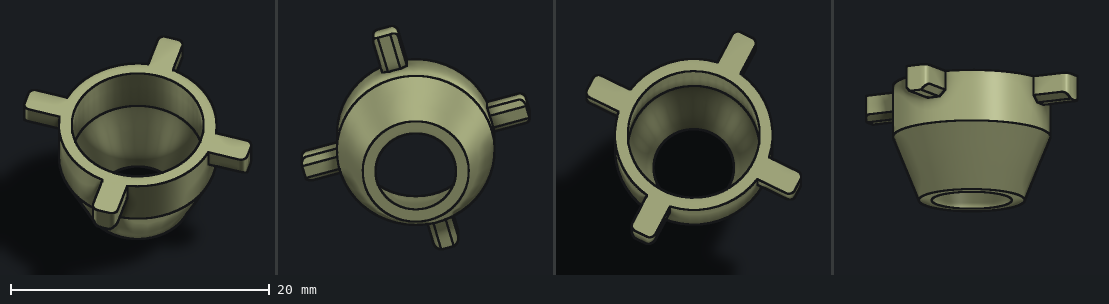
import cadquery as cq

wall = 1.0
collar_diameter = 12.2
collar_height = 4.0
cone_height = 5.0
tip_diameter = 8.2
tab_span = 18.0
tab_width = 2.0
tab_height = 2.0
tab_corner_radius = 0.5
tab_chamfer = 0.5
tab_count = 4

total_height = collar_height + cone_height
collar_radius = collar_diameter / 2
tip_radius = tip_diameter / 2
bore_radius = collar_radius - wall
tip_bore_radius = tip_radius - wall
tab_length = tab_span / 2


def revolved_profile(tip, collar):
    """Solid cone topped by a cylinder, with the given tip and collar radii."""
    return (
        cq.Workplane("XZ")
        .moveTo(0, 0)
        .lineTo(tip, 0)
        .lineTo(collar, cone_height)
        .lineTo(collar, total_height)
        .lineTo(0, total_height)
        .close()
        .revolve(360, (0, 0, 0), (0, 1, 0))
    )


def make_tab():
    """Radial tab along +X, flush with the rim, chamfered along its lower long edges."""
    return (
        cq.Workplane("XY")
        .workplane(offset=total_height - tab_height)
        .rect(tab_length, tab_width)
        .extrude(tab_height)
        .translate((tab_length / 2, 0, 0))
        .faces("<Z")
        .edges("|X")
        .chamfer(tab_chamfer)
        .edges("|Z and >X")
        .fillet(tab_corner_radius)
    )


body = revolved_profile(tip_radius, collar_radius)
tab = make_tab()
for index in range(tab_count):
    body = body.union(tab.rotate((0, 0, 0), (0, 0, 1), index * 360 / tab_count))

result = body.cut(revolved_profile(tip_bore_radius, bore_radius))